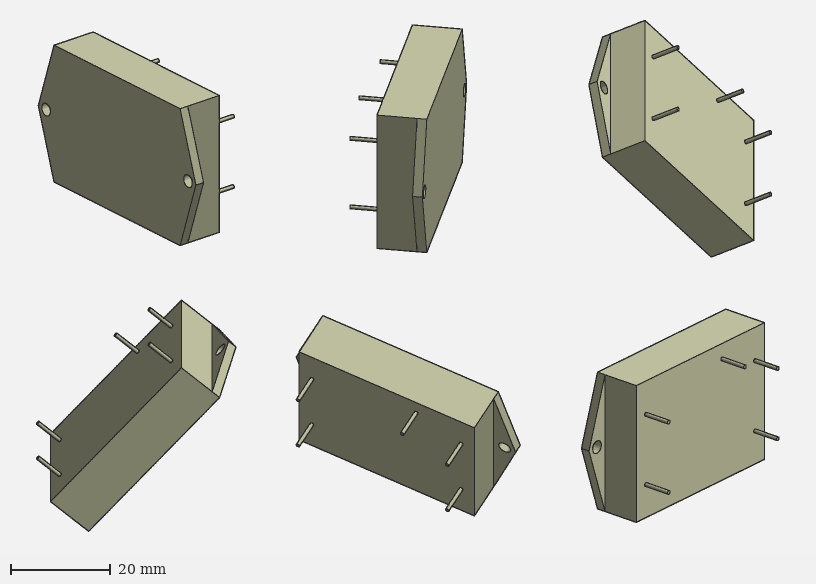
import cadquery as cq

flange_length = 50.0
height = 30.2
flange_thickness = 2.0
hole_diameter = 2.7
hole_spacing = 45.0

body_length = 40.0
body_depth = 10.2

pin_diameter = 0.8
pin_length = 6.0
pin_column_x = 17.0
pin_row_z = 7.75
extra_pin_x = -6.75
extra_pin_z = 11.7


def back_plane(y):
    """XZ workplane at depth y, extruding toward +Y with X reversed."""
    return cq.Workplane(cq.Plane(origin=(0, y, 0), xDir=(-1, 0, 0), normal=(0, 1, 0)))


def make_flange():
    tip_x = flange_length / 2
    corner_x = body_length / 2
    corner_z = height / 2
    outline = [
        (tip_x, 0),
        (corner_x, corner_z),
        (-corner_x, corner_z),
        (-tip_x, 0),
        (-corner_x, -corner_z),
        (corner_x, -corner_z),
    ]
    return back_plane(0).polyline(outline).close().extrude(flange_thickness)


def make_body():
    return back_plane(0).rect(body_length, height).extrude(body_depth)


def make_mounting_holes():
    centres = [(-hole_spacing / 2, 0), (hole_spacing / 2, 0)]
    return back_plane(0).pushPoints(centres).circle(hole_diameter / 2).extrude(flange_thickness)


def make_pins():
    positions = [(x, z) for x in (-pin_column_x, pin_column_x) for z in (-pin_row_z, pin_row_z)]
    positions.append((extra_pin_x, extra_pin_z))
    reversed_positions = [(-x, z) for x, z in positions]
    pins = back_plane(body_depth).pushPoints(reversed_positions)
    return pins.circle(pin_diameter / 2).extrude(pin_length)


flange = make_flange().cut(make_mounting_holes())
result = flange.union(make_body()).union(make_pins())